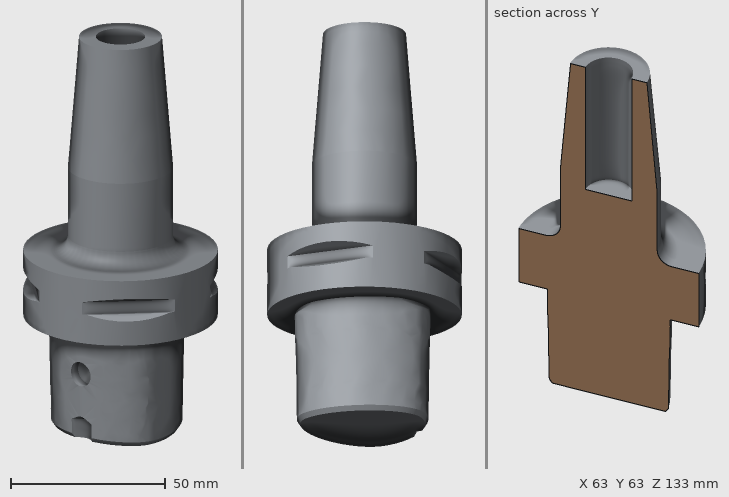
import cadquery as cq
import math

total_height = 133.0
flange_bottom = 38.0
flange_top = 60.1
cone_start = 88.5
taper_top = 35.2
chamfer_height = 1.6

flange_radius = 31.5
nose_radius = 17.0
tip_radius = 13.4
root_fillet = 5.0
bore_radius = 8.0
bore_depth = 50.0

shank_mean_radius = 22.0
lobe_height = 1.4
taper_inset = 0.7
chamfer_inset = 1.0
relief_radius = 22.3
relief_height = 1.9

groove_count = 4
groove_flat_distance = 27.7
groove_floor_bottom = 47.9
groove_floor_top = 52.0
groove_upper_flare = 2.0
groove_lower_flare = 1.6
groove_lower_ledge = 0.9

drill_half_angle = 59
notch_radius = 4.5
notch_distance = 21.5
notch_shoulder = 6.4
hole_radius = 4.1
hole_height = 22.7
hole_shoulder_distance = 16.5


def lobed_wire(height, inset):
    """Constant-width three-lobed outline, offset inwards by inset."""
    mean = shank_mean_radius - inset

    def point(t):
        turn = math.radians(90)
        support = mean + lobe_height * math.cos(3 * t)
        slope = -3 * lobe_height * math.sin(3 * t)
        x = support * math.cos(t + turn) - slope * math.sin(t + turn)
        y = support * math.sin(t + turn) + slope * math.cos(t + turn)
        return cq.Vector(x, y, height)

    steps = 36
    points = [point(2 * math.pi * i / steps) for i in range(steps)]
    return cq.Wire.assembleEdges([cq.Edge.makeSpline(points, periodic=True)])


def lobed_section(bottom, bottom_inset, top, top_inset):
    wires = [lobed_wire(bottom, bottom_inset), lobed_wire(top, top_inset)]
    return cq.Workplane(cq.Solid.makeLoft(wires, True))


def make_shank():
    chamfer = lobed_section(0, taper_inset + chamfer_inset, chamfer_height, taper_inset)
    taper = lobed_section(chamfer_height, taper_inset, taper_top, 0)
    neck = lobed_section(taper_top, 0, flange_bottom, 0)
    return chamfer.union(taper).union(neck).cut(make_lobe_relief())


def make_lobe_relief():
    """Turned groove that trims the lobes just under the flange."""
    mid = relief_height * (1 - math.sqrt(0.5))
    return (
        cq.Workplane("XZ")
        .moveTo(relief_radius, flange_bottom)
        .threePointArc(
            (relief_radius + mid, flange_bottom - relief_height + mid),
            (relief_radius + relief_height, flange_bottom - relief_height),
        )
        .lineTo(flange_radius, flange_bottom - relief_height)
        .lineTo(flange_radius, flange_bottom)
        .close()
        .revolve(360, (0, 0, 0), (0, 1, 0))
    )


def make_upper_body():
    """Flange, filleted nose and conical tip, turned about Z."""
    mid = root_fillet * (1 - math.sqrt(0.5))
    return (
        cq.Workplane("XZ")
        .moveTo(0, flange_bottom)
        .lineTo(flange_radius, flange_bottom)
        .lineTo(flange_radius, flange_top)
        .lineTo(nose_radius + root_fillet, flange_top)
        .threePointArc(
            (nose_radius + mid, flange_top + mid),
            (nose_radius, flange_top + root_fillet),
        )
        .lineTo(nose_radius, cone_start)
        .lineTo(tip_radius, total_height)
        .lineTo(0, total_height)
        .close()
        .revolve(360, (0, 0, 0), (0, 1, 0))
    )


def make_bore():
    return (
        cq.Workplane("XY")
        .workplane(offset=total_height - bore_depth)
        .circle(bore_radius)
        .extrude(bore_depth)
    )


def make_groove(angle):
    """Flat-bottomed groove with flared sides, facing the given direction."""
    return (
        cq.Workplane("XZ")
        .polyline([
            (groove_flat_distance, groove_floor_bottom),
            (groove_flat_distance + groove_lower_ledge, groove_floor_bottom),
            (flange_radius, groove_floor_bottom - groove_lower_flare),
            (flange_radius, groove_floor_top + groove_upper_flare),
            (groove_flat_distance, groove_floor_top),
        ])
        .close()
        .extrude(flange_radius, both=True)
        .rotate((0, 0, 0), (0, 0, 1), angle)
    )


def make_drill(radius, base, direction, length):
    """Cylinder from base along direction, ending in a drill point."""
    tip = radius / math.tan(math.radians(drill_half_angle))
    axis = cq.Vector(*direction)
    start = cq.Vector(*base)
    shoulder = start + axis * length
    body = cq.Workplane(cq.Solid.makeCylinder(radius, length, start, axis))
    point = cq.Solid.makeCone(radius, 0, tip, shoulder, axis)
    return body.union(cq.Workplane(point))


result = make_upper_body().union(make_shank()).cut(make_bore())

for i in range(groove_count):
    result = result.cut(make_groove(45 + i * 360 / groove_count))

drive_notch = make_drill(notch_radius, (0, -notch_distance, 0), (0, 0, 1), notch_shoulder)
coding_hole = make_drill(
    hole_radius,
    (0, -flange_radius, hole_height),
    (0, 1, 0),
    flange_radius - hole_shoulder_distance,
)
result = result.cut(drive_notch).cut(coding_hole)